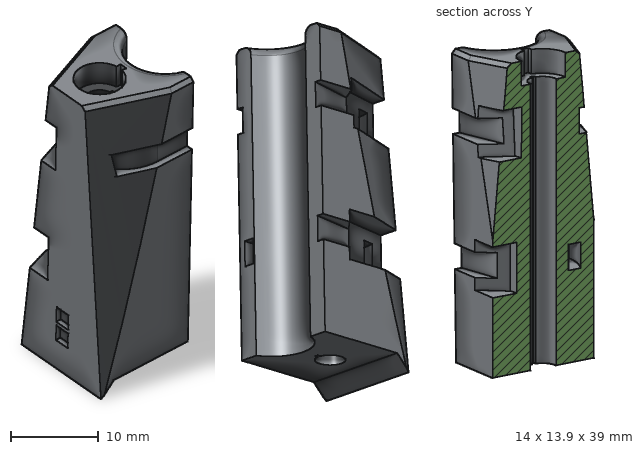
import cadquery as cq
import math

width = 14.0
height = 38.98
top_back_y = 13.9
front_lean = 0.9
back_lean = front_lean
base_z = 1.87
top_chamfer = 0.5
half_width = width / 2
reach = 2 * width

bevel_top_x = 3.08
bevel_base_x = 6.9
bevel_top_run = 0.4
bevel_base_run = 0.33

saddle_radius = 4.9
saddle_round = 1.0
saddle_top_y = 15.75

hole_y = 5.8
bore_radius = 1.75
bore_key_width = 0.45
bore_key_reach = 2.1
counterbore_radius = 3.0
counterbore_key_width = 0.97
counterbore_key_reach = 3.6
counterbore_depth = 2.92

pocket_height = 6.0
strap_height = 3.05
upper_z = 30.5
lower_z = 14.45
tunnel_inner_radius = 6.12
tunnel_outer_radius = 7.52
upper_tunnel_y = 9.2
lower_tunnel_x = -1.35
lower_tunnel_y = 9.4

upper_pocket = ((-1.7, 0.7), (-3.3, 6.7), (-6.82, 8.65))
lower_pocket = ((-2.65, 0.3), (-3.85, 6.63), (-6.98, 9.25))
upper_end_lean = 0.4

upper_channel = ((-4.4, 7.33), (-6.1, 13.65))
lower_channel = ((-5.0, 7.52), (-6.1, 13.45))

overshoot = 2
undershoot = -0.1

mark_size = 2.05
mark_depth = 0.65
mark_heights = (4.95, 7.52)


def make_body():
    profile = [
        (0, 0),
        (base_z, base_z),
        (top_back_y - back_lean * (height - base_z) / height, base_z),
        (top_back_y, height),
        (front_lean, height),
    ]
    body = cq.Workplane("YZ").polyline(profile).close().extrude(half_width, both=True)
    for side in (-1, 1):
        body = body.cut(bevel_cutter(side))
    top_edges = body.faces(">Z").edges("not |X")
    return top_edges.chamfer(top_chamfer)


def bevel_cutter(side):
    """Ruled wedge outside one slightly twisted front-corner bevel."""
    def section(front_x, front_y, run):
        near_y = front_y - width
        far_y = front_y + width
        return [
            (side * (front_x - run * width), near_y),
            (side * (front_x + run * width), far_y),
            (side * reach, far_y),
            (side * reach, near_y),
        ]
    return (
        cq.Workplane("XY").polyline(section(bevel_base_x, 0, bevel_base_run)).close()
        .workplane(offset=height)
        .polyline(section(bevel_top_x, front_lean, bevel_top_run)).close()
        .loft(ruled=True)
    )


def saddle_cutter():
    """Cylinder with its axis parallel to the back face."""
    tilt = math.degrees(math.atan(back_lean / height))
    cylinder = cq.Workplane("XY").circle(saddle_radius).extrude(2 * height, both=True)
    return cylinder.rotate((0, 0, 0), (1, 0, 0), -tilt).translate((0, saddle_top_y, height))


def keyed_hole(radius, key_width, key_reach, depth):
    plane = cq.Workplane("XY").workplane(offset=height - depth)
    hole = plane.center(0, hole_y).circle(radius).extrude(depth)
    key = plane.center(0, hole_y + key_reach / 2).rect(key_width, key_reach).extrude(depth)
    return hole.union(key)


def prism(points, z_mid, size):
    plane = cq.Workplane("XY").workplane(offset=z_mid - size / 2)
    return plane.polyline(points).close().extrude(size)


def along(start, end, factor):
    """Point on the line from start (factor 0) to end (factor 1)."""
    return tuple(a + factor * (b - a) for a, b in zip(start, end))


def side_pocket(front, corner, mouth, z_mid, end_lean):
    """Pocket open to the left and front; its end wall shifts back by end_lean."""
    def outline(shift):
        return [
            along(corner, front, overshoot),
            (corner[0], corner[1] + shift),
            along((corner[0], corner[1] + shift), (mouth[0], mouth[1] + shift), overshoot),
            (-reach, -width),
        ]
    plane = cq.Workplane("XY").workplane(offset=z_mid - pocket_height / 2)
    return (
        plane.polyline(outline(-end_lean / 2)).close()
        .workplane(offset=pocket_height)
        .polyline(outline(end_lean / 2)).close()
        .loft(ruled=True)
    )


def strap_channel(start, end, z_mid):
    """Channel from the pocket's end wall to the back face, open to the left."""
    front = along(start, end, undershoot)
    points = [front, along(start, end, overshoot), (-reach, reach), (-reach, front[1])]
    return prism(points, z_mid, strap_height)


def strap_tunnel(center_x, center_y, z_mid):
    """Half ring around the hole, followed by a straight leg out of the back."""
    ring = (
        cq.Workplane("XY", origin=(center_x, center_y, z_mid - strap_height / 2))
        .moveTo(-tunnel_inner_radius, 0)
        .threePointArc((0, -tunnel_inner_radius), (tunnel_inner_radius, 0))
        .lineTo(tunnel_inner_radius, reach)
        .lineTo(tunnel_outer_radius, reach)
        .lineTo(tunnel_outer_radius, 0)
        .threePointArc((0, -tunnel_outer_radius), (-tunnel_outer_radius, 0))
        .close()
    )
    return ring.extrude(strap_height)


def front_mark(z_mid):
    face_y = front_lean * z_mid / height
    return cq.Workplane("XY").box(mark_size, 2 * mark_depth, mark_size).translate((0, face_y, z_mid))


result = make_body().cut(saddle_cutter())
result = result.faces(">Z").edges("%ELLIPSE").fillet(saddle_round)
result = result.cut(keyed_hole(bore_radius, bore_key_width, bore_key_reach, height))
result = result.cut(
    keyed_hole(counterbore_radius, counterbore_key_width, counterbore_key_reach, counterbore_depth)
)

result = result.cut(side_pocket(*upper_pocket, upper_z, upper_end_lean))
result = result.cut(strap_channel(*upper_channel, upper_z))
result = result.cut(strap_tunnel(0, upper_tunnel_y, upper_z))

result = result.cut(side_pocket(*lower_pocket, lower_z, 0))
result = result.cut(strap_channel(*lower_channel, lower_z))
result = result.cut(strap_tunnel(lower_tunnel_x, lower_tunnel_y, lower_z))

for mark_z in mark_heights:
    result = result.cut(front_mark(mark_z))